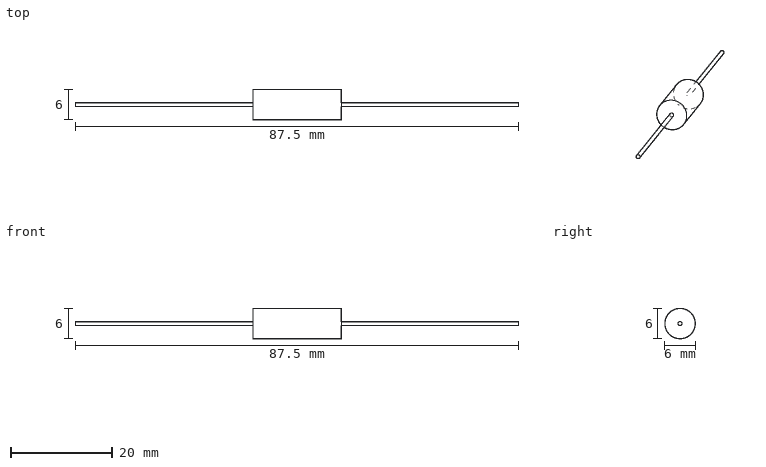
import cadquery as cq

overall_length = 87.5
body_length = 17.5
body_diameter = 6.0
lead_diameter = 0.8

lead_length = (overall_length - body_length) / 2


def make_cylinder(start_x, length, diameter):
    """Solid cylinder along +X, starting at start_x and centred on the X axis."""
    return cq.Workplane("YZ", origin=(start_x, 0, 0)).circle(diameter / 2).extrude(length)


def make_body():
    return make_cylinder(-body_length / 2, body_length, body_diameter)


def make_lead(start_x):
    return make_cylinder(start_x, lead_length, lead_diameter)


body = make_body()

lead_starts = (-overall_length / 2, body_length / 2)
leads = [make_lead(start_x) for start_x in lead_starts]

result = cq.Compound.makeCompound([body.val(), *[lead.val() for lead in leads]])